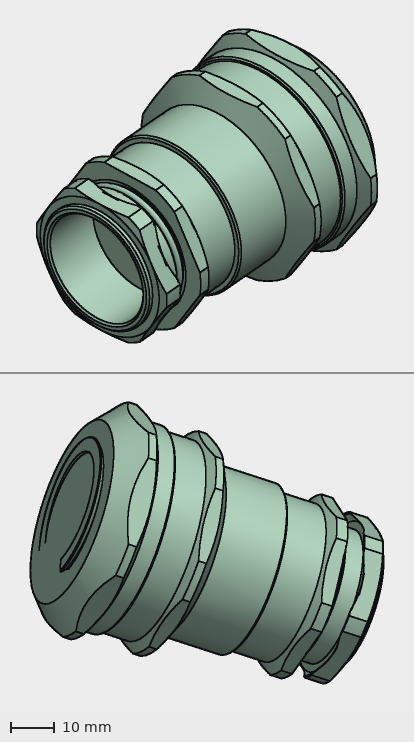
import cadquery as cq
import math


OVERLAP = 0.4
TAN_30 = math.tan(math.radians(30))

BORE_RADIUS = 14.15
BORE_DEPTH = 15.2
STUB_RADIUS = 16.1
STUB_LENGTH = 9.9
STUB_CHAMFER = 0.5
NECK_RADIUS = 15.6

LOCK_NUT_FLATS = 36.2
LOCK_NUT_CORNER_RADIUS = 19.9
LOCK_NUT_START = 1.55
LOCK_NUT_END = 6.8
LOCK_NUT_CHAMFER = 0.65
DISH_DEPTH = 1.3
DISH_RIM_RADIUS = 19.35

RING_SECTION_RADIUS = 0.9
RING_CENTRE_RADIUS = 15.7

FLANGE_FLATS = 40.2
FLANGE_CORNER_RADIUS = 21.55
FLANGE_START = 11.95
FLANGE_CHAMFER_START = 14.75
RING_RECESS_RADIUS = 17.0
RING_RECESS_DEPTH = 0.7

SLEEVE_RADIUS = 19.0
BARREL_RADIUS = 20.6
BARREL_START = 26.55
BARREL_CHAMFER = 0.45
BARREL_END = 42.25

MIDDLE_HEX_FLATS = 50.1
MIDDLE_HEX_CORNER_RADIUS = 26.55
MIDDLE_HEX_LAND = 2.0
MIDDLE_HEX_LAND_START = BARREL_END + (MIDDLE_HEX_CORNER_RADIUS - BARREL_RADIUS) * TAN_30

REAR_RADIUS = 24.1
COLLAR_RADIUS = 25.1
COLLAR_START = 57.05
COLLAR_CHAMFER = 0.45
COLLAR_END = 61.6

GLAND_NUT_FLATS = 52.0
GLAND_NUT_CORNER_RADIUS = 28.0
GLAND_NUT_LAND = 2.05
GLAND_NUT_FACE_RADIUS = 22.0
GLAND_NUT_LAND_START = COLLAR_END + (GLAND_NUT_CORNER_RADIUS - COLLAR_RADIUS) * TAN_30
GLAND_NUT_LAND_END = GLAND_NUT_LAND_START + GLAND_NUT_LAND
GLAND_NUT_END = GLAND_NUT_LAND_END + GLAND_NUT_CORNER_RADIUS - GLAND_NUT_FACE_RADIUS

HOSE_RADIUS = 16.3
HOSE_LIP_RADIUS = 17.7
HOSE_LIP_THICKNESS = 0.2
HOSE_PITCH = 2.65
HOSE_TURN = 0.77
TOTAL_LENGTH = 73.3


def revolved(points):
    """Solid of revolution about Z from (radius, z) points; the first and last lie on the axis."""
    return cq.Workplane("XZ").polyline(points).close().revolve(360, (0, 0, 0), (0, 1, 0))


def hexagon(flats, start, end):
    """Hexagonal prism with two corners on the X axis."""
    corner_diameter = flats / math.cos(math.radians(30))
    return cq.Workplane("XY").workplane(offset=start).polygon(6, corner_diameter).extrude(end - start)


def stub():
    outline = [
        (0, 0),
        (STUB_RADIUS - STUB_CHAMFER, 0),
        (STUB_RADIUS, STUB_CHAMFER),
        (STUB_RADIUS, STUB_LENGTH),
        (NECK_RADIUS, STUB_LENGTH),
        (NECK_RADIUS, FLANGE_START + OVERLAP),
        (0, FLANGE_START + OVERLAP),
    ]
    return revolved(outline)


def lock_nut():
    turned = revolved([
        (0, LOCK_NUT_START),
        (LOCK_NUT_FLATS / 2, LOCK_NUT_START),
        (LOCK_NUT_CORNER_RADIUS, LOCK_NUT_START + LOCK_NUT_CHAMFER),
        (LOCK_NUT_CORNER_RADIUS, LOCK_NUT_END),
        (DISH_RIM_RADIUS, LOCK_NUT_END),
        (DISH_RIM_RADIUS - DISH_DEPTH, LOCK_NUT_END - DISH_DEPTH),
        (0, LOCK_NUT_END - DISH_DEPTH),
    ])
    return hexagon(LOCK_NUT_FLATS, LOCK_NUT_START, LOCK_NUT_END).intersect(turned)


def sealing_ring():
    centre_z = FLANGE_START - RING_SECTION_RADIUS
    section = cq.Workplane("XZ").center(RING_CENTRE_RADIUS, centre_z).circle(RING_SECTION_RADIUS)
    return section.revolve(360, (-RING_CENTRE_RADIUS, 0, 0), (-RING_CENTRE_RADIUS, 1, 0))


def flange():
    end = FLANGE_CHAMFER_START + (FLANGE_CORNER_RADIUS - SLEEVE_RADIUS) * TAN_30
    turned = revolved([
        (0, FLANGE_START),
        (FLANGE_CORNER_RADIUS, FLANGE_START),
        (FLANGE_CORNER_RADIUS, FLANGE_CHAMFER_START),
        (SLEEVE_RADIUS, end),
        (0, end),
    ])
    return hexagon(FLANGE_FLATS, FLANGE_START, end).intersect(turned)


def ring_recess():
    face = cq.Workplane("XY").workplane(offset=FLANGE_START)
    return face.circle(RING_RECESS_RADIUS).circle(NECK_RADIUS).extrude(RING_RECESS_DEPTH)


def sleeve_and_barrel():
    return revolved([
        (0, FLANGE_START + OVERLAP),
        (SLEEVE_RADIUS, FLANGE_START + OVERLAP),
        (SLEEVE_RADIUS, BARREL_START),
        (BARREL_RADIUS - BARREL_CHAMFER, BARREL_START),
        (BARREL_RADIUS, BARREL_START + BARREL_CHAMFER),
        (BARREL_RADIUS, BARREL_END + OVERLAP),
        (0, BARREL_END + OVERLAP),
    ])


def middle_hex():
    land_end = MIDDLE_HEX_LAND_START + MIDDLE_HEX_LAND
    end = land_end + (MIDDLE_HEX_CORNER_RADIUS - REAR_RADIUS) * TAN_30
    turned = revolved([
        (0, BARREL_END),
        (BARREL_RADIUS, BARREL_END),
        (MIDDLE_HEX_CORNER_RADIUS, MIDDLE_HEX_LAND_START),
        (MIDDLE_HEX_CORNER_RADIUS, land_end),
        (REAR_RADIUS, end),
        (0, end),
    ])
    return hexagon(MIDDLE_HEX_FLATS, BARREL_END, end).intersect(turned)


def rear_cylinder_and_collar():
    return revolved([
        (0, MIDDLE_HEX_LAND_START),
        (REAR_RADIUS, MIDDLE_HEX_LAND_START),
        (REAR_RADIUS, COLLAR_START),
        (COLLAR_RADIUS - COLLAR_CHAMFER, COLLAR_START),
        (COLLAR_RADIUS, COLLAR_START + COLLAR_CHAMFER),
        (COLLAR_RADIUS, COLLAR_END + OVERLAP),
        (0, COLLAR_END + OVERLAP),
    ])


def gland_nut():
    turned = revolved([
        (0, COLLAR_END),
        (COLLAR_RADIUS, COLLAR_END),
        (GLAND_NUT_CORNER_RADIUS, GLAND_NUT_LAND_START),
        (GLAND_NUT_CORNER_RADIUS, GLAND_NUT_LAND_END),
        (GLAND_NUT_FACE_RADIUS, GLAND_NUT_END),
        (0, GLAND_NUT_END),
    ])
    return hexagon(GLAND_NUT_FLATS, COLLAR_END, GLAND_NUT_END).intersect(turned)


def hose_end():
    """Part of a turn of flared strip, left-handed about Z; its foot stays buried in the gland nut."""
    rise = HOSE_TURN * HOSE_PITCH
    top = TOTAL_LENGTH - rise
    lip_underside = top - HOSE_LIP_THICKNESS
    flare = HOSE_LIP_RADIUS - HOSE_RADIUS
    foot = top - HOSE_PITCH
    section = cq.Workplane("XZ").polyline([
        (BORE_RADIUS, foot),
        (HOSE_RADIUS, foot),
        (HOSE_RADIUS, lip_underside - flare),
        (HOSE_LIP_RADIUS, lip_underside),
        (HOSE_LIP_RADIUS - HOSE_LIP_THICKNESS, top),
        (BORE_RADIUS, top),
    ]).close()
    helix = cq.Wire.makeHelix(HOSE_PITCH, rise, HOSE_RADIUS, lefthand=True)
    return section.sweep(cq.Workplane(obj=helix), isFrenet=True)


def bore():
    return cq.Workplane("XY").circle(BORE_RADIUS).extrude(BORE_DEPTH)


def mouth_chamfer():
    return revolved([
        (0, 0),
        (BORE_RADIUS + STUB_CHAMFER, 0),
        (BORE_RADIUS, STUB_CHAMFER),
        (0, STUB_CHAMFER),
    ])


fitting = stub()
bodies = (
    lock_nut,
    flange,
    sleeve_and_barrel,
    middle_hex,
    rear_cylinder_and_collar,
    gland_nut,
    hose_end,
)
for body in bodies:
    fitting = fitting.union(body())
fitting = fitting.cut(ring_recess()).union(sealing_ring())
fitting = fitting.cut(bore()).cut(mouth_chamfer())

result = fitting.rotate((0, 0, 0), (1, 0, 0), -90)